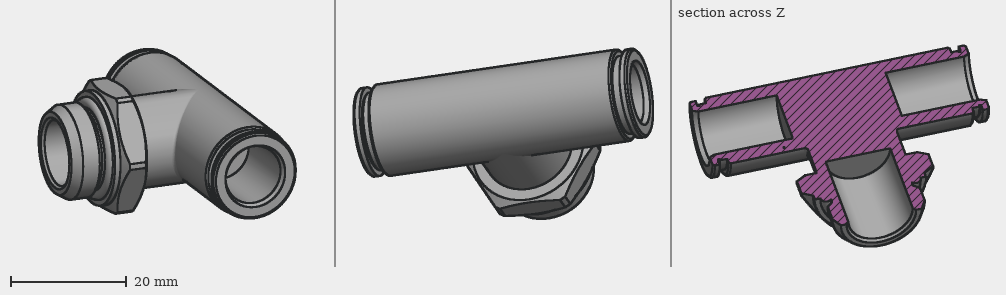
import cadquery as cq
import math

body_length = 44.0
body_radius = 8.0
body_end_chamfer = 0.35
overall_length = 49.61
collar_radius = 7.75
collar_thickness = 1.25
collar_chamfer = 0.35
neck_radius = 6.8
neck_embed = 1.0
groove_radius = 6.5
groove_width = 0.3
run_mouth_radius = 5.6
run_bore_radius = 5.15
run_bore_depth = 15.0
run_mouth_depth = 1.0
junction_fillet = 0.5

hex_start = 14.0
hex_end = 19.0
flange_end = 20.0
undercut_end = 21.25
thread_start = 22.15
thread_end = 25.25
branch_end = 27.0

hex_across_flats = 21.0
hex_corner_radius = 11.83
hex_face_radius = 10.05
hex_bevel_angle = 30.0
flange_radius = 10.0
seal_outer_radius = 9.0
seal_section_radius = 1.0
thread_radius = 8.3
thread_root_radius = 7.25
branch_mouth_radius = 6.25
branch_bore_radius = 5.75
branch_bore_depth = 15.0
branch_mouth_depth = 0.5


def revolve_about_branch(profile):
    """Revolve a closed (radius, -distance) profile about the Y axis."""
    return profile.close().revolve(360, (0, 0, 0), (0, 1, 0))


def tee_body():
    """Equal-diameter run and branch, with the seams between them filleted."""
    run = cq.Workplane("YZ", origin=(-body_length / 2, 0, 0)).circle(body_radius).extrude(body_length)
    run = run.faces("<X or >X").chamfer(body_end_chamfer)
    branch = cq.Workplane("XZ").circle(body_radius).extrude(hex_start)
    seams = run.union(branch).edges("%ELLIPSE")
    return seams.fillet(junction_fillet)


def push_in_collar():
    """Neck, groove and collar that stand out from the +X end of the run."""
    tip = overall_length / 2
    collar_back = tip - collar_thickness
    neck_end = collar_back - groove_width
    return (
        cq.Workplane("XY")
        .moveTo(body_length / 2 - neck_embed, 0)
        .lineTo(body_length / 2 - neck_embed, neck_radius)
        .lineTo(neck_end, neck_radius)
        .lineTo(neck_end, groove_radius)
        .lineTo(collar_back, groove_radius)
        .lineTo(collar_back, collar_radius)
        .lineTo(tip - collar_chamfer, collar_radius)
        .lineTo(tip, collar_radius - collar_chamfer)
        .lineTo(tip, 0)
        .close()
        .revolve(360, (0, 0, 0), (1, 0, 0))
    )


def hexagon():
    """Hexagon with bevelled faces and corners turned to a cylinder."""
    across_corners = hex_across_flats / math.cos(math.radians(30))
    prism = (
        cq.Workplane("XZ", origin=(0, -hex_start, 0))
        .polygon(6, across_corners)
        .extrude(hex_end - hex_start)
    )
    bevel = (hex_corner_radius - hex_face_radius) * math.tan(math.radians(hex_bevel_angle))
    envelope = revolve_about_branch(
        cq.Workplane("XY")
        .moveTo(0, -hex_start)
        .lineTo(hex_face_radius, -hex_start)
        .lineTo(hex_corner_radius, -hex_start - bevel)
        .lineTo(hex_corner_radius, -hex_end + bevel)
        .lineTo(hex_face_radius, -hex_end)
        .lineTo(0, -hex_end)
    )
    return prism.intersect(envelope)


def threaded_end():
    """Flange, undercut and thread cylinder below the hexagon."""
    return revolve_about_branch(
        cq.Workplane("XY")
        .moveTo(0, -hex_end)
        .lineTo(flange_radius, -hex_end)
        .lineTo(flange_radius, -flange_end)
        .lineTo(thread_root_radius, -flange_end)
        .lineTo(thread_root_radius, -undercut_end)
        .lineTo(thread_radius, -thread_start)
        .lineTo(thread_radius, -thread_end)
        .lineTo(thread_root_radius, -branch_end)
        .lineTo(0, -branch_end)
    )


def seal_ring():
    """Round sealing ring half sunk into the flange face."""
    return (
        cq.Workplane("XY")
        .moveTo(seal_outer_radius - seal_section_radius, -flange_end)
        .circle(seal_section_radius)
        .revolve(360, (0, 0, 0), (0, 1, 0))
    )


def blind_bore(mouth_plane, mouth_radius, mouth_depth, bore_radius, bore_depth):
    """Flat-bottomed bore with a tapered mouth; the plane normal points out of the port."""
    bore = cq.Workplane(mouth_plane).circle(bore_radius).extrude(-bore_depth)
    mouth = (
        cq.Workplane(mouth_plane)
        .circle(mouth_radius)
        .workplane(offset=-mouth_depth)
        .circle(bore_radius)
        .loft(ruled=True)
    )
    return bore.union(mouth)


def run_bore(side):
    """Bore of the run port on the +X (side = 1) or -X (side = -1) end."""
    mouth_plane = cq.Plane(
        origin=(side * overall_length / 2, 0, 0), xDir=(0, 1, 0), normal=(side, 0, 0)
    )
    return blind_bore(mouth_plane, run_mouth_radius, run_mouth_depth, run_bore_radius, run_bore_depth)


def branch_bore():
    mouth_plane = cq.Plane(origin=(0, -branch_end, 0), xDir=(1, 0, 0), normal=(0, -1, 0))
    return blind_bore(
        mouth_plane, branch_mouth_radius, branch_mouth_depth, branch_bore_radius, branch_bore_depth
    )


right_collar = push_in_collar()
left_collar = right_collar.mirror("YZ")

result = tee_body().union(hexagon()).union(threaded_end()).union(seal_ring())
result = result.union(right_collar).union(left_collar)
result = result.cut(run_bore(1)).cut(run_bore(-1)).cut(branch_bore())